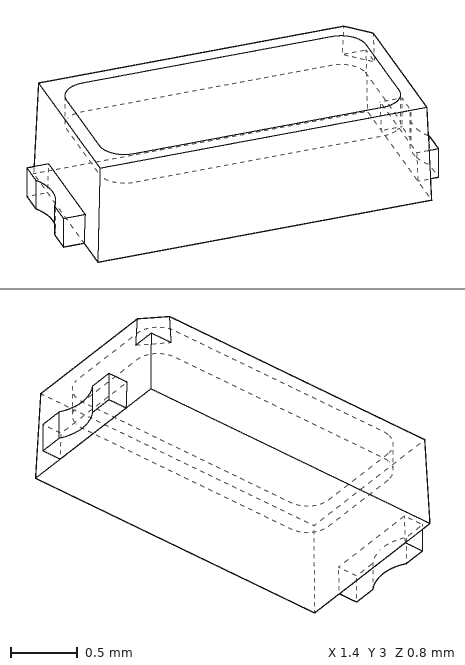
import cadquery as cq
import math

package_length = 3.0
package_height = 0.8

housing_width = 1.4
housing_length = 2.67
draft_angle = 2.0
top_inset = package_height * math.tan(math.radians(draft_angle))
top_length = housing_length - 2 * top_inset

marker_leg = 0.172
marker_depth = 0.25

lens_width = 1.115
lens_length = 2.395
lens_depth = 0.25
lens_corner_radius = 0.2

terminal_width = 0.8
terminal_height = 0.25
notch_width = 0.405
notch_depth = 0.06
notch_radius = ((notch_width / 2) ** 2 + notch_depth**2) / (2 * notch_depth)
notch_center_offset = notch_radius - notch_depth


def make_lens():
    return (
        cq.Workplane("XY")
        .workplane(offset=package_height - lens_depth)
        .rect(lens_width, lens_length)
        .extrude(lens_depth)
        .edges("|Z")
        .fillet(lens_corner_radius)
    )


def make_tapered_block():
    return (
        cq.Workplane("XY")
        .rect(housing_width, housing_length)
        .extrude(package_height, taper=draft_angle)
    )


def make_marker_cutter():
    leg = marker_leg + 2 * top_inset
    corner_x = -housing_width / 2
    corner_y = housing_length / 2
    return (
        cq.Workplane("XY")
        .workplane(offset=package_height - marker_depth)
        .moveTo(corner_x, corner_y)
        .lineTo(corner_x + leg, corner_y)
        .lineTo(corner_x, corner_y - leg)
        .close()
        .extrude(marker_depth)
    )


def make_housing(lens):
    return make_tapered_block().cut(make_marker_cutter()).cut(lens)


def make_terminal(end):
    """Terminal at the +Y (end = 1) or -Y (end = -1) side, butting on the sloping wall."""
    outer_y = end * package_length / 2
    wall_y = end * top_length / 2
    bar = (
        cq.Workplane("XY")
        .center(0, (outer_y + wall_y) / 2)
        .rect(terminal_width, abs(outer_y - wall_y))
        .extrude(terminal_height)
    )
    notch = (
        cq.Workplane("XY")
        .center(0, outer_y + end * notch_center_offset)
        .circle(notch_radius)
        .extrude(terminal_height)
    )
    return bar.cut(notch).cut(make_tapered_block())


lens = make_lens()
housing = make_housing(lens)
terminals = [make_terminal(end) for end in (-1, 1)]

result = cq.Compound.makeCompound(
    [
        housing.solids().val(),
        lens.solids().val(),
        *[terminal.solids().val() for terminal in terminals],
    ]
)